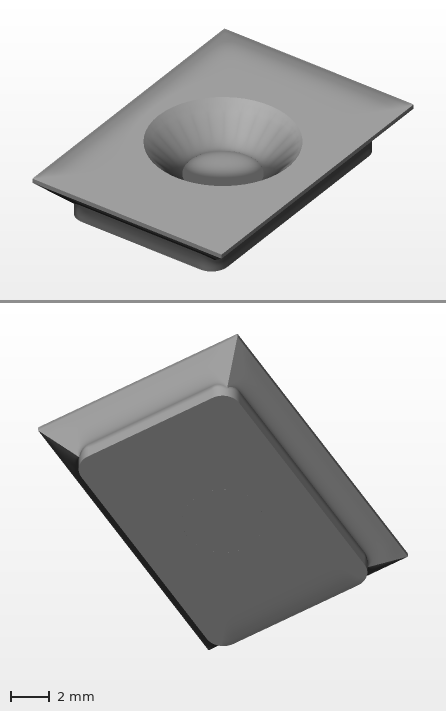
import cadquery as cq

PLATE_X = 12.0
PLATE_Y = 17.0
HEIGHT = 2.5
RIM_THICKNESS = 0.25

BEVEL = 1.25
BASE_X = PLATE_X - 2 * BEVEL
BASE_Y = PLATE_Y - 2 * BEVEL
CORNER_RADIUS = 1.0

HOLE_DIAMETER = 4.2
SINK_DIAMETER = 8.2
SINK_ANGLE = 90
SINK_DEPTH = (SINK_DIAMETER - HOLE_DIAMETER) / 2
DISC_THICKNESS = HEIGHT - SINK_DEPTH

RIM_BOTTOM = HEIGHT - RIM_THICKNESS
BEVEL_DROP = BEVEL + CORNER_RADIUS / 2


def make_base():
    """Block with rounded vertical corners."""
    block = cq.Workplane("XY").box(BASE_X, BASE_Y, RIM_BOTTOM, centered=(True, True, False))
    return block.edges("|Z").fillet(CORNER_RADIUS)


def make_plate():
    """Thin rectangular rim with a 45 degree bevel tapering down below it."""
    rim = (
        cq.Workplane("XY", origin=(0, 0, RIM_BOTTOM))
        .rect(PLATE_X, PLATE_Y)
        .extrude(RIM_THICKNESS)
    )
    bevel = (
        cq.Workplane("XY", origin=(0, 0, RIM_BOTTOM))
        .rect(PLATE_X, PLATE_Y)
        .workplane(offset=-BEVEL_DROP)
        .rect(PLATE_X - 2 * BEVEL_DROP, PLATE_Y - 2 * BEVEL_DROP)
        .loft(ruled=True)
    )
    return rim.union(bevel)


def make_housing():
    """Plate and base as one body, with a countersunk through hole."""
    body = make_plate().union(make_base())
    drilled = body.faces(">Z").workplane(origin=(0, 0, HEIGHT)).cskHole(HOLE_DIAMETER, SINK_DIAMETER, SINK_ANGLE)
    return drilled.solids()


def make_disc():
    """Disc that fills the straight part of the hole, up to the countersink."""
    return cq.Workplane("XY").circle(HOLE_DIAMETER / 2).extrude(DISC_THICKNESS)


housing = make_housing()
disc = make_disc()

result = cq.Compound.makeCompound([housing.val(), disc.val()])